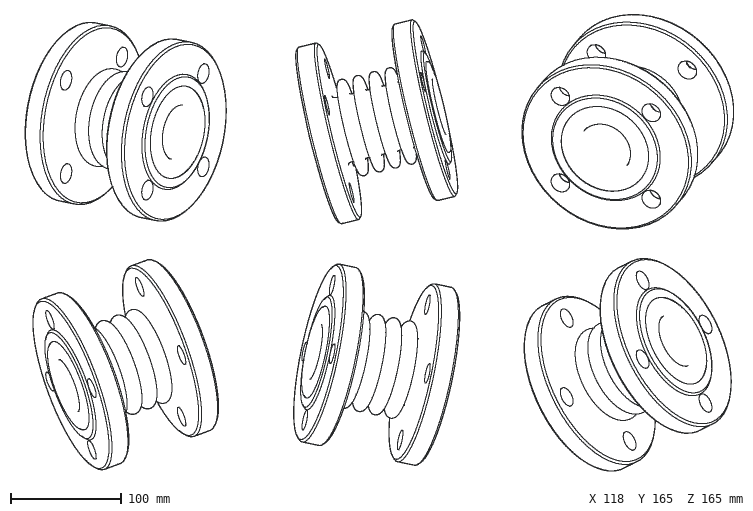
import cadquery as cq


overall_length = 118.0
bore_diameter = 50.0
bore_edge_radius = 2.0

flange_diameter = 165.0
flange_thickness = 20.0
flange_chamfer = 2.0

raised_face_diameter = 106.0
raised_face_height = 2.0
raised_face_chamfer = 2.0
end_lip_diameter = 85.0
end_lip_height = 2.0
end_lip_edge_radius = 2.0

bolt_hole_count = 4
bolt_hole_diameter = 18.0
bolt_circle_diameter = 125.0
first_bolt_angle = 45.0

tube_diameter = 60.0
flange_root_radius = 4.0
rib_count = 4
rib_pitch = 15.0
rib_diameter = 90.0
rib_width = 8.0
rib_root_radius = 2.0

end_x = overall_length / 2
raised_face_x = end_x - end_lip_height
flange_outer_x = raised_face_x - raised_face_height
flange_inner_x = flange_outer_x - flange_thickness

bore_radius = bore_diameter / 2
tube_radius = tube_diameter / 2
flange_radius = flange_diameter / 2
raised_face_radius = raised_face_diameter / 2
end_lip_radius = end_lip_diameter / 2
rib_radius = rib_diameter / 2


def revolve_about_x(profile):
    """Close a half-profile along the X axis and spin it into a solid."""
    return profile.close().revolve(360, (0, 0, 0), (1, 0, 0))


def make_tube():
    """Plain round bar that joins the two flanges."""
    return cq.Workplane("YZ").circle(tube_radius).extrude(flange_outer_x, both=True)


def make_rib(center_x):
    """One bellows convolution with a fully rounded crest and concave roots."""
    half_width = rib_width / 2
    foot_half_width = half_width + rib_root_radius
    root_top = tube_radius + rib_root_radius
    crest_start = rib_radius - half_width
    profile = (
        cq.Workplane("XY")
        .moveTo(center_x - foot_half_width, 0)
        .lineTo(center_x - foot_half_width, tube_radius)
        .radiusArc((center_x - half_width, root_top), -rib_root_radius)
        .lineTo(center_x - half_width, crest_start)
        .threePointArc((center_x, rib_radius), (center_x + half_width, crest_start))
        .lineTo(center_x + half_width, root_top)
        .radiusArc((center_x + foot_half_width, tube_radius), -rib_root_radius)
        .lineTo(center_x + foot_half_width, 0)
    )
    return revolve_about_x(profile)


def make_flange():
    """The +X flange: concave root, chamfered rim, raised face and rounded end lip."""
    profile = (
        cq.Workplane("XY")
        .moveTo(flange_inner_x - flange_root_radius, 0)
        .lineTo(flange_inner_x - flange_root_radius, tube_radius)
        .radiusArc((flange_inner_x, tube_radius + flange_root_radius), -flange_root_radius)
        .lineTo(flange_inner_x, flange_radius - flange_chamfer)
        .lineTo(flange_inner_x + flange_chamfer, flange_radius)
        .lineTo(flange_outer_x - flange_chamfer, flange_radius)
        .lineTo(flange_outer_x, flange_radius - flange_chamfer)
        .lineTo(flange_outer_x, raised_face_radius)
        .lineTo(raised_face_x, raised_face_radius - raised_face_chamfer)
        .lineTo(raised_face_x, end_lip_radius)
        .radiusArc((end_x, end_lip_radius - end_lip_edge_radius), end_lip_edge_radius)
        .lineTo(end_x, 0)
    )
    return revolve_about_x(profile)


def cut_bore(body):
    """Through bore with rounded mouths at both ends."""
    mouth_radius = bore_radius + bore_edge_radius
    mouth_inner_x = end_x - bore_edge_radius
    profile = (
        cq.Workplane("XY")
        .moveTo(-end_x, 0)
        .lineTo(-end_x, mouth_radius)
        .radiusArc((-mouth_inner_x, bore_radius), -bore_edge_radius)
        .lineTo(mouth_inner_x, bore_radius)
        .radiusArc((end_x, mouth_radius), -bore_edge_radius)
        .lineTo(end_x, 0)
    )
    return body.cut(revolve_about_x(profile))


def cut_bolt_holes(body):
    """Bolt holes through both flanges, clear of the bellows between them."""
    holes = (
        cq.Workplane("YZ")
        .polarArray(bolt_circle_diameter / 2, first_bolt_angle, 360, bolt_hole_count)
        .circle(bolt_hole_diameter / 2)
        .extrude(end_x, both=True)
    )
    return body.cut(holes)


flange = make_flange()
body = make_tube().union(flange).union(flange.mirror("YZ"))
for index in range(rib_count):
    rib_x = (index - (rib_count - 1) / 2) * rib_pitch
    body = body.union(make_rib(rib_x))

body = cut_bore(body)
body = cut_bolt_holes(body)

result = body